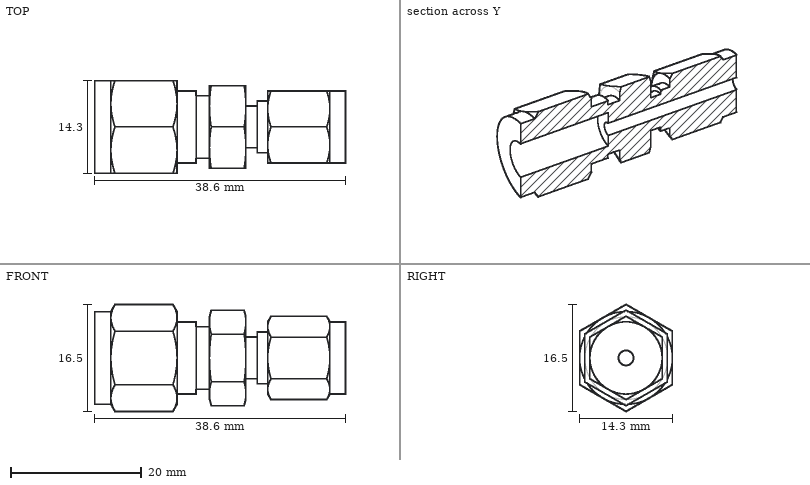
import cadquery as cq
import math


large_nut_flats = 14.3
body_hex_flats = 12.75
small_nut_flats = 11.1
nut_chamfer_angle = 30.0
body_chamfer_angle = 15.0

large_flange_diameter = small_nut_flats
large_neck_diameter = 9.65
small_neck_diameter = 6.45
small_flange_diameter = 8.0

tube_bore_diameter = 6.35
through_bore_diameter = 2.28

large_nut_start = 2.5
large_nut_end = 12.7
large_flange_end = 15.65
body_hex_start = 17.68
body_hex_end = 23.28
small_neck_end = 25.0
small_nut_start = 26.65
small_nut_end = 36.2
total_length = 38.6

tube_bore_depth = large_flange_end


def cylinder(start, end, diameter):
    """Round section on the X axis between two stations."""
    return cq.Workplane("YZ", origin=(start, 0, 0)).circle(diameter / 2).extrude(end - start)


def chamfered_hex(start, end, flats, chamfer_angle):
    """Hexagon with flats facing +Y and -Y, its corners turned down to a cone at both ends."""
    flat_radius = flats / 2
    corner_radius = flat_radius / math.cos(math.radians(30))
    chamfer_length = (corner_radius - flat_radius) * math.tan(math.radians(chamfer_angle))

    prism = (
        cq.Workplane("YZ", origin=(start, 0, 0))
        .transformed(rotate=(0, 0, 90))
        .polygon(6, 2 * corner_radius)
        .extrude(end - start)
    )
    turned_envelope = (
        cq.Workplane("XY")
        .moveTo(start, 0)
        .lineTo(start, flat_radius)
        .lineTo(start + chamfer_length, corner_radius)
        .lineTo(end - chamfer_length, corner_radius)
        .lineTo(end, flat_radius)
        .lineTo(end, 0)
        .close()
        .revolve(360, (0, 0, 0), (1, 0, 0))
    )
    return prism.intersect(turned_envelope)


large_collar = cylinder(0, large_nut_start, large_nut_flats)
large_nut = chamfered_hex(large_nut_start, large_nut_end, large_nut_flats, nut_chamfer_angle)

large_flange = cylinder(large_nut_end, large_flange_end, large_flange_diameter)
large_neck = cylinder(large_flange_end, body_hex_start, large_neck_diameter)
body_hex = chamfered_hex(body_hex_start, body_hex_end, body_hex_flats, body_chamfer_angle)
small_neck = cylinder(body_hex_end, small_neck_end, small_neck_diameter)
small_flange = cylinder(small_neck_end, small_nut_start, small_flange_diameter)

small_nut = chamfered_hex(small_nut_start, small_nut_end, small_nut_flats, nut_chamfer_angle)
small_collar = cylinder(small_nut_end, total_length, small_nut_flats)

result = large_collar
for section in (
    large_nut,
    large_flange,
    large_neck,
    body_hex,
    small_neck,
    small_flange,
    small_nut,
    small_collar,
):
    result = result.union(section)

result = result.cut(cylinder(0, tube_bore_depth, tube_bore_diameter))
result = result.cut(cylinder(0, total_length, through_bore_diameter))